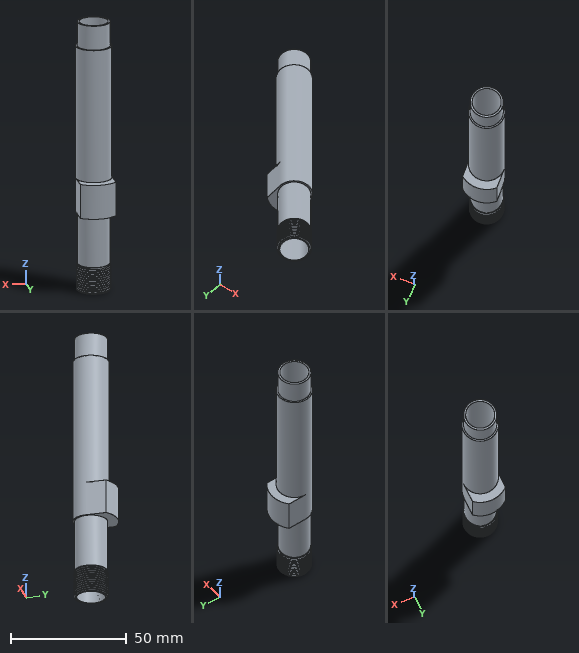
import cadquery as cq
import math

total_height = 122
bore_diameter = 12.5
tube_diameter = 14.4
tube_bottom = 0.2

sleeve_diameter = 15.9
sleeve_bottom = 35.9
sleeve_top = 111.1

lug_radius = 12.0
lug_top = 51.2

thread_top = 12.3
thread_root_diameter = 13.8
thread_crest_diameter = 15.0
thread_pitch = 1.0
thread_turns = 11.5
thread_start_angle = 243
tooth_base_width = 0.93
tooth_crest_width = 0.15
tooth_embed = 0.1


def cylinder(diameter, bottom, top):
    return cq.Workplane("XY").workplane(offset=bottom).circle(diameter / 2).extrude(top - bottom)


def make_lug():
    """Flat-sided block whose rounded back is concentric with the tube."""
    half_width = sleeve_diameter / 2
    corner_y = math.sqrt(lug_radius**2 - half_width**2)
    return (
        cq.Workplane("XY")
        .workplane(offset=sleeve_bottom)
        .moveTo(-half_width, 0)
        .lineTo(half_width, 0)
        .lineTo(half_width, corner_y)
        .threePointArc((0, lug_radius), (-half_width, corner_y))
        .close()
        .extrude(lug_top - sleeve_bottom)
    )


def make_thread():
    """Helical ridge; the start of its first turn dips to Z = 0, just below the tube end."""
    root_radius = thread_root_diameter / 2
    inner_radius = root_radius - tooth_embed
    crest_radius = thread_crest_diameter / 2
    base_half = tooth_base_width / 2
    crest_half = tooth_crest_width / 2
    helix = cq.Wire.makeHelix(thread_pitch, thread_pitch * thread_turns, root_radius)
    tooth = cq.Workplane("XZ").polyline([
        (inner_radius, -base_half),
        (crest_radius, -crest_half),
        (crest_radius, crest_half),
        (inner_radius, base_half),
    ]).close()
    ridge = tooth.sweep(cq.Workplane(obj=helix), isFrenet=True)
    return ridge.rotate((0, 0, 0), (0, 0, 1), thread_start_angle).translate((0, 0, base_half))


tube = cylinder(tube_diameter, thread_top, total_height)
sleeve = cylinder(sleeve_diameter, sleeve_bottom, sleeve_top)
thread_core = cylinder(thread_root_diameter, tube_bottom, thread_top)
bore = cylinder(bore_diameter, 0, total_height)

body = tube.union(sleeve).union(make_lug()).union(thread_core).cut(bore)
result = body.union(make_thread())